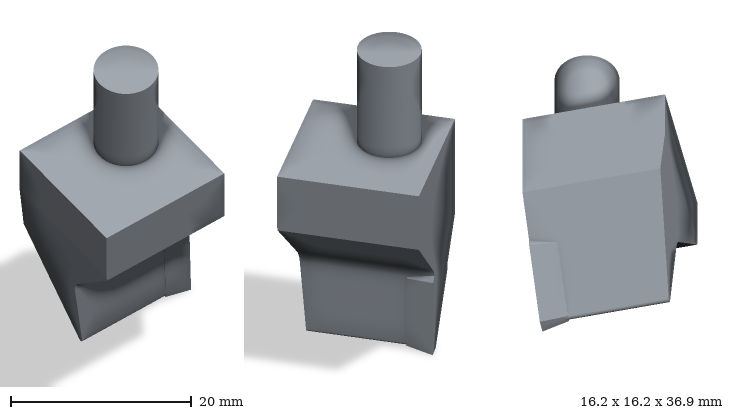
import cadquery as cq
import math

shank_diameter = 7.2
shank_height = 12.0
block_width = 16.2
shank_inset = 5.98

left_side_drop = 12.55
right_side_drop = 7.1
throat_x = 3.17
throat_drop = 14.55
nose_x = 3.55
nose_drop = 25.17
throat_radius = 2.2
nose_radius = 0.35

relief_drop = 6.57
relief_angle = 5.2

insert_thickness = 3.15
clearance_angle = 8.0

left_x = -shank_inset
right_x = left_x + block_width
back_y = shank_inset
front_y = back_y - block_width

insert_left = (-2.62, -17.75)
insert_end = (2.65, -24.8)
insert_tip = (4.02, -24.9)
insert_right = (3.73, -15.58)


def opposite(point):
    """Point reflected through the centre of the insert outline."""
    return (
        insert_left[0] + insert_right[0] - point[0],
        insert_left[1] + insert_right[1] - point[1],
    )


def make_insert():
    """Cutting insert, tapering on all sides from the back face towards -Y."""
    outline = [
        insert_left,
        insert_end,
        insert_tip,
        insert_right,
        opposite(insert_end),
        opposite(insert_tip),
    ]
    return (
        cq.Workplane("XZ", origin=(0, back_y, 0))
        .polyline(outline)
        .close()
        .extrude(insert_thickness, taper=clearance_angle)
    )


def make_block():
    """Block with its nose, rounded at the throat and at the nose point."""
    block = (
        cq.Workplane("XZ", origin=(0, back_y, 0))
        .polyline([
            (left_x, 0),
            (right_x, 0),
            (right_x, -right_side_drop),
            (throat_x, -throat_drop),
            (nose_x, -nose_drop),
            (left_x, -left_side_drop),
        ])
        .close()
        .extrude(block_width)
    )
    middle_y = (front_y + back_y) / 2
    throat_edge = cq.selectors.NearestToPointSelector((throat_x, middle_y, -throat_drop))
    nose_edge = cq.selectors.NearestToPointSelector((nose_x, middle_y, -nose_drop))
    block = block.edges(throat_edge).fillet(throat_radius)
    return block.edges(nose_edge).fillet(nose_radius)


def make_front_relief():
    """Wedge that leans the lower front face back towards +Y."""
    relief_depth = (nose_drop - relief_drop) * math.tan(math.radians(relief_angle))
    return (
        cq.Workplane("YZ", origin=(left_x, 0, 0))
        .polyline([
            (front_y, -relief_drop),
            (front_y + relief_depth, -nose_drop),
            (front_y, -nose_drop),
        ])
        .close()
        .extrude(block_width)
    )


def make_holder(pocket):
    """Block and shank in one piece, with a pocket matching the insert."""
    shank = cq.Workplane("XY").circle(shank_diameter / 2).extrude(shank_height)
    return make_block().cut(make_front_relief()).union(shank).cut(pocket)


insert = make_insert()
holder = make_holder(insert)

result = cq.Compound.makeCompound([*holder.vals(), insert.val()])